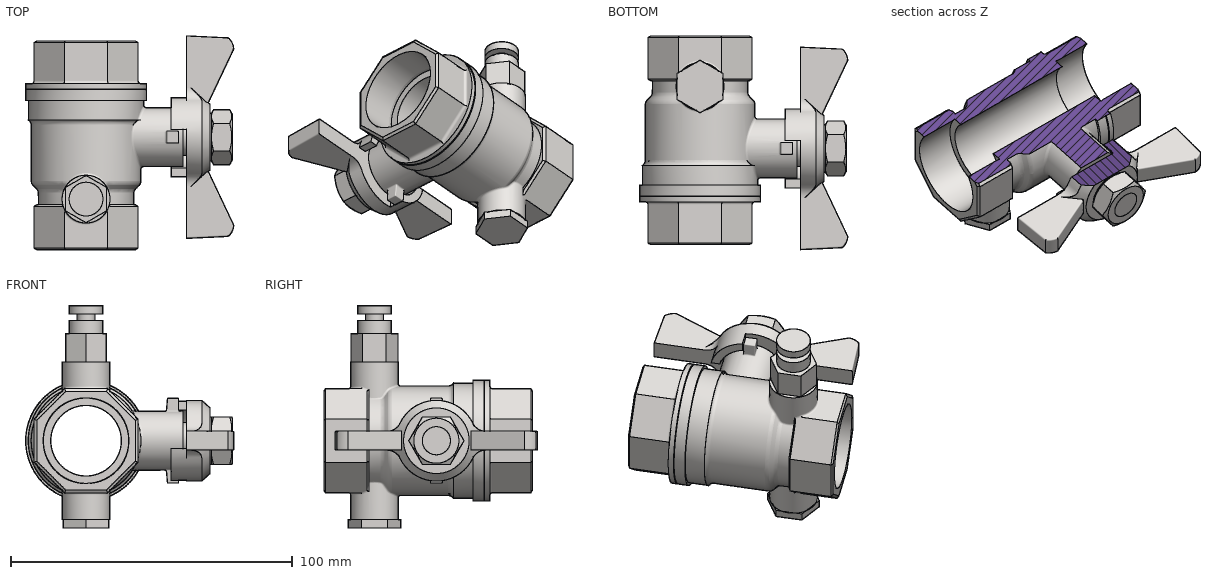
import cadquery as cq
import math


SEAM_TOLERANCE = 1e-3
SEAM_SAMPLES = (0.2, 0.5, 0.8)
PICK_MARGIN = 0.1

flow_bore_d = 25.0
socket_d = 30.29
socket_depth = 14.0
socket_relief_d = 30.7
socket_relief_length = 1.1

octagon_flats = 37.0
octagon_chamfer = 1.0
octagon_chamfer_length = 0.6
front_end_y = -40.0
front_octagon_y = -24.0
back_end_y = 34.2

flange_d = 43.0
flange_root_r = 1.0
flange_front_y = 13.0
flange_back_y = 19.0
joint_groove_d = 42.5
joint_groove_y = 17.0
joint_groove_width = 0.2
shoulder_d = 41.0
shoulder_front_y = 6.1
shoulder_blend_r = 2.1
barrel_d = 39.0
barrel_back_y = 4.25
barrel_front_y = -16.5
neck_d = 34.0
neck_blend_r = 2.0

port_y = -22.0
port_d = 17.0
port_end_z = 28.0
port_root_r = 0.7
bleed_hex_flats = 14.5
bleed_hex_top_z = 38.0
bleed_d = 12.0
bleed_collar_top_z = 42.7
bleed_neck_d = 6.5
bleed_head_base_z = 45.0
bleed_top_z = 48.0
plug_hex_flats = 16.2
plug_bottom_z = -31.0

tower_d = 21.0
tower_end_x = 34.4
tower_root_r = 0.9
stem_collar_d = 13.0
stem_d = 10.0

stop_section_x = 26.0
stop_inner_x = 28.4
stop_tip_inner_x = 28.9
stop_outer_x = 32.9
stop_tip_z = 15.1
stop_width = 4.2
stop_overlap = 1.0
stop_edge_r = 0.3
stop_root_r = 0.5

hub_d = 28.7
hub_inner_x = 35.6
hub_cone_x = 41.1
hub_outer_x = 44.1
hub_outer_d = 23.3
skirt_inner_d = 22.5
skirt_inner_x = 30.2
skirt_gap = 2.78
wing_thickness = 6.75
wing_span = 36.0
wing_tip_lean = 0.7
wing_corner_x = 50.5
wing_outer_x = 52.5
wing_corner_y = 31.3
wing_corner_bulge = 0.45
wing_root_x = 43.5
wing_root_y = 12.3
wing_edge_r = 0.5
wing_root_r = 5.0
wing_root_end_y = 20.0

nut_flats = 17.0
nut_face_d = 17.0
nut_face_thickness = 0.45
nut_outer_x = 52.05
nut_end_d = 16.0
nut_chamfer_slope = math.tan(math.radians(30))


def x_cylinder(diameter, start, end):
    return cq.Workplane("YZ", origin=(start, 0, 0)).circle(diameter / 2).extrude(end - start)


def y_cylinder(diameter, start, end):
    return cq.Workplane("XZ", origin=(0, end, 0)).circle(diameter / 2).extrude(end - start)


def z_cylinder(diameter, start, end):
    return cq.Workplane("XY", origin=(0, port_y, start)).circle(diameter / 2).extrude(end - start)


def port_hexagon(flats, start, end):
    corner_d = flats / math.cos(math.pi / 6)
    hexagon = cq.Workplane("XY").polygon(6, corner_d).extrude(end - start)
    return hexagon.rotate((0, 0, 0), (0, 0, 1), 30).translate((0, port_y, start))




def octagon(start, end):
    """Octagonal prism along Y, with flats facing X and Z."""
    corner_d = octagon_flats / math.cos(math.pi / 8)
    sketch = cq.Sketch().regularPolygon(corner_d / 2, 8, 22.5)
    return cq.Workplane("XZ", origin=(0, end, 0)).placeSketch(sketch).extrude(end - start)


def octagon_bevel(base, direction):
    """Bevelled end of an octagon, starting at `base` and pointing along +Y or -Y."""
    corner_d = octagon_flats / math.cos(math.pi / 8)
    plane = cq.Plane(origin=(0, base, 0), xDir=(1, 0, 0), normal=(0, direction, 0))
    sketch = cq.Sketch().regularPolygon(corner_d / 2, 8, 22.5)
    taper = math.degrees(math.atan2(octagon_chamfer, octagon_chamfer_length))
    return cq.Workplane(plane).placeSketch(sketch).extrude(octagon_chamfer_length, taper=taper)


def front_octagon():
    near = front_end_y + octagon_chamfer_length
    far = front_octagon_y - octagon_chamfer_length
    prism = octagon(near, far)
    return prism.union(octagon_bevel(near, -1)).union(octagon_bevel(far, 1))


def back_octagon():
    """Back wrench end standing on the flange, with a rounded root."""
    far = back_end_y - octagon_chamfer_length
    flange = y_cylinder(flange_d, flange_front_y, flange_back_y)
    joined = flange.union(octagon(flange_back_y, far))
    root = cq.selectors.BoxSelector(
        (-flange_d, flange_back_y - PICK_MARGIN, -flange_d), (flange_d, flange_back_y + PICK_MARGIN, flange_d)
    )
    joined = joined.edges(root).edges("%LINE").fillet(flange_root_r)
    return joined.union(octagon_bevel(far, 1))


def joint_groove():
    back_y = joint_groove_y + joint_groove_width / 2
    outline = cq.Workplane("XZ", origin=(0, back_y, 0)).circle(flange_d).circle(joint_groove_d / 2)
    return outline.extrude(joint_groove_width)


def barrel():
    """Shoulder, barrel, 45 degree cone and neck, turned about the flow axis."""
    shoulder_r = shoulder_d / 2
    barrel_r = barrel_d / 2
    neck_r = neck_d / 2
    neck_back_y = barrel_front_y - (barrel_r - neck_r)
    blend_length = shoulder_front_y - barrel_back_y
    blend_angle = math.asin(blend_length / shoulder_blend_r)
    blend_rise = shoulder_blend_r * (1 - math.cos(blend_angle))
    blend_middle = (
        barrel_r + shoulder_blend_r * (1 - math.cos(blend_angle / 2)),
        barrel_back_y + shoulder_blend_r * math.sin(blend_angle / 2),
    )
    turned = (
        cq.Workplane("XY")
        .moveTo(0, front_octagon_y)
        .lineTo(neck_r, front_octagon_y)
        .lineTo(neck_r, neck_back_y)
        .lineTo(barrel_r, barrel_front_y)
        .lineTo(barrel_r, barrel_back_y)
        .threePointArc(blend_middle, (barrel_r + blend_rise, shoulder_front_y))
        .lineTo(shoulder_r, shoulder_front_y)
        .lineTo(shoulder_r, flange_front_y)
        .lineTo(0, flange_front_y)
        .close()
        .revolve(360, (0, 0, 0), (0, 1, 0))
    )
    cone_ends = cq.selectors.BoxSelector(
        (-barrel_d, neck_back_y - PICK_MARGIN, -barrel_d), (barrel_d, barrel_front_y + PICK_MARGIN, barrel_d)
    )
    return turned.edges(cone_ends).edges("%CIRCLE").fillet(neck_blend_r)


def rounded_branch(shell, branch, end_face, radius):
    """Join a round branch to the shell and round the whole seam between them."""
    joined = shell.union(branch)
    wall = branch.faces("%CYLINDER").val()
    end = branch.faces(end_face).val()
    seam = []
    for edge in joined.edges().vals():
        samples = [cq.Vertex.makeVertex(*edge.positionAt(t).toTuple()) for t in SEAM_SAMPLES]
        lies_on_wall = max(wall.distance(sample) for sample in samples) < SEAM_TOLERANCE
        clear_of_end = min(end.distance(sample) for sample in samples) > SEAM_TOLERANCE
        if lies_on_wall and clear_of_end and edge.geomType() != "LINE":
            seam.append(edge)
    return joined.newObject(seam).fillet(radius)


def tower_stretch(round_d, start, end):
    """Slice of the stem tower from y = start to end, blended into a cylinder about Y."""
    tower = x_cylinder(tower_d, 0, tower_end_x)
    round_part = y_cylinder(round_d, -tower_d, tower_d)
    blended = rounded_branch(round_part, tower, ">X", tower_root_r)
    return blended.intersect(y_cylinder(4 * tower_end_x, start, end))


def stop_tab():
    """Stop tab on top of the stem tower, with its inner side leaning and its edges rounded."""
    base_z = tower_d / 2 - stop_overlap
    tab = (
        cq.Workplane("XZ", origin=(0, stop_width / 2, 0))
        .moveTo(stop_inner_x, base_z)
        .lineTo(stop_tip_inner_x, stop_tip_z)
        .lineTo(stop_outer_x, stop_tip_z)
        .lineTo(stop_outer_x, base_z)
        .close()
        .extrude(stop_width)
    )
    tab = tab.edges("not (|X or |Y)").fillet(stop_edge_r)
    return tab.faces(">Z").edges().fillet(stop_edge_r)


def tower_end_with_stops():
    """Outer end of the stem tower with two opposite stop tabs and rounded tab roots."""
    end = x_cylinder(tower_d, stop_section_x, tower_end_x)
    tab = stop_tab()
    joined = end.union(tab).union(tab.rotate((0, 0, 0), (1, 0, 0), 180))
    roots = []
    for edge in joined.edges().vals():
        samples = [edge.positionAt(t) for t in SEAM_SAMPLES]
        on_tower = max(abs(math.hypot(p.y, p.z) - tower_d / 2) for p in samples) < SEAM_TOLERANCE
        at_tab = stop_section_x < edge.Center().x < tower_end_x and edge.Length() < tower_d / 2
        if on_tower and at_tab:
            roots.append(edge)
    return joined.newObject(roots).fillet(stop_root_r)


def bleed_fitting():
    fitting = port_hexagon(bleed_hex_flats, port_end_z, bleed_hex_top_z)
    fitting = fitting.union(z_cylinder(bleed_d, bleed_hex_top_z, bleed_collar_top_z))
    fitting = fitting.union(z_cylinder(bleed_neck_d, bleed_collar_top_z, bleed_head_base_z))
    return fitting.union(z_cylinder(bleed_d, bleed_head_base_z, bleed_top_z))


def socket(mouth_y, inward):
    """Socket turned from its mouth towards +Y (inward 1) or -Y (inward -1), with a flared foot."""
    relief_y = mouth_y + inward * (socket_depth - socket_relief_length)
    foot_y = mouth_y + inward * socket_depth
    return (
        cq.Workplane("XY")
        .moveTo(0, mouth_y)
        .lineTo(socket_d / 2, mouth_y)
        .lineTo(socket_d / 2, relief_y)
        .lineTo(socket_relief_d / 2, foot_y)
        .lineTo(0, foot_y)
        .close()
        .revolve(360, (0, 0, 0), (0, 1, 0))
    )


def build_valve_body():
    shell = front_octagon().union(barrel()).union(back_octagon()).cut(joint_groove())
    shell = rounded_branch(shell, z_cylinder(port_d, 0, port_end_z), ">Z", port_root_r)
    shell = rounded_branch(shell, z_cylinder(port_d, -port_end_z, 0), "<Z", port_root_r)
    shell = shell.union(tower_stretch(barrel_d, barrel_front_y + neck_blend_r, shoulder_front_y))
    shell = shell.union(tower_stretch(shoulder_d, shoulder_front_y, flange_front_y))
    shell = shell.union(bleed_fitting())
    shell = shell.union(port_hexagon(plug_hex_flats, plug_bottom_z, -port_end_z))
    shell = shell.union(tower_end_with_stops())
    shell = shell.union(x_cylinder(stem_collar_d, tower_end_x, hub_inner_x))
    shell = shell.union(x_cylinder(stem_d, hub_inner_x, nut_outer_x))
    shell = shell.cut(y_cylinder(flow_bore_d, front_end_y, back_end_y))
    return shell.cut(socket(front_end_y, 1)).cut(socket(back_end_y, -1))




def skirts():
    """Two opposite quarter skirts on the inner side of the hub."""
    ring = (
        cq.Workplane("YZ", origin=(skirt_inner_x, 0, 0))
        .circle(hub_d / 2)
        .circle(skirt_inner_d / 2)
        .extrude(hub_inner_x - skirt_inner_x)
    )
    quarters = (
        cq.Workplane("YZ", origin=(skirt_inner_x, 0, 0))
        .pushPoints([(skirt_gap + hub_d / 2, skirt_gap + hub_d / 2)])
        .rect(hub_d, hub_d)
        .extrude(hub_inner_x - skirt_inner_x)
    )
    quarters = quarters.union(quarters.rotate((0, 0, 0), (1, 0, 0), 180))
    return ring.intersect(quarters)


def hub():
    """Hub disc blended into the wing roots, then turned to a cone on the outer side."""
    length = hub_outer_x - hub_inner_x
    root = cq.Workplane("XY").box(length, 2 * wing_root_end_y, wing_thickness)
    root = root.translate((hub_inner_x + length / 2, 0, 0))
    joined = x_cylinder(hub_d, hub_inner_x, hub_outer_x).union(root)
    seams = []
    for edge in joined.edges("|X").vals():
        middle = edge.Center()
        on_wing_face = abs(abs(middle.z) - wing_thickness / 2) < SEAM_TOLERANCE
        if on_wing_face and abs(middle.y) < hub_d / 2:
            seams.append(edge)
    blended = joined.newObject(seams).fillet(wing_root_r)

    cone_slope = (hub_d - hub_outer_d) / 2 / (hub_outer_x - hub_cone_x)
    cone_base_r = hub_outer_d / 2 + cone_slope * length
    cone = (
        cq.Workplane("XY")
        .moveTo(hub_inner_x, 0)
        .lineTo(hub_inner_x, cone_base_r)
        .lineTo(hub_outer_x, hub_outer_d / 2)
        .lineTo(hub_outer_x, 0)
        .close()
        .revolve(360, (0, 0, 0), (1, 0, 0))
    )
    return blended.intersect(cone)


def wing():
    """Wing on the +Y side, with rounded outer edges."""
    blank = (
        cq.Workplane("XY", origin=(0, 0, -wing_thickness / 2))
        .moveTo(wing_root_x, wing_root_y)
        .lineTo(hub_inner_x, wing_root_y)
        .lineTo(hub_inner_x, wing_span)
        .lineTo(wing_corner_x, wing_span - wing_tip_lean)
        .sagittaArc((wing_outer_x, wing_corner_y), wing_corner_bulge)
        .close()
        .extrude(wing_thickness)
    )
    return blank.faces("|Z").edges("not (|X or |Y)").fillet(wing_edge_r)


def build_handle():
    plus_wing = wing()
    minus_wing = plus_wing.rotate((0, 0, 0), (1, 0, 0), 180)
    grip = hub().union(plus_wing).union(minus_wing).union(skirts())
    return grip.cut(x_cylinder(stem_d, hub_inner_x, hub_outer_x))




def build_nut():
    """Hexagon nut with a round bearing face and both ends chamfered by cones."""
    hex_inner_x = hub_outer_x + nut_face_thickness
    corner_r = nut_flats / 2 / math.cos(math.pi / 6)
    inner_bevel = (corner_r - nut_face_d / 2) * nut_chamfer_slope
    outer_bevel = (corner_r - nut_end_d / 2) * nut_chamfer_slope
    hexagon = cq.Workplane("YZ", origin=(hub_outer_x, 0, 0)).polygon(6, 2 * corner_r)
    hexagon = hexagon.extrude(nut_outer_x - hub_outer_x)
    turned = (
        cq.Workplane("XY")
        .moveTo(hub_outer_x, 0)
        .lineTo(hub_outer_x, nut_face_d / 2)
        .lineTo(hex_inner_x, nut_face_d / 2)
        .lineTo(hex_inner_x + inner_bevel, corner_r)
        .lineTo(nut_outer_x - outer_bevel, corner_r)
        .lineTo(nut_outer_x, nut_end_d / 2)
        .lineTo(nut_outer_x, 0)
        .close()
        .revolve(360, (0, 0, 0), (1, 0, 0))
    )
    return hexagon.intersect(turned).cut(x_cylinder(stem_d, hub_outer_x, nut_outer_x))


valve_body = build_valve_body()
handle = build_handle()
nut = build_nut()

result = cq.Compound.makeCompound([valve_body.val(), handle.val(), nut.val()])